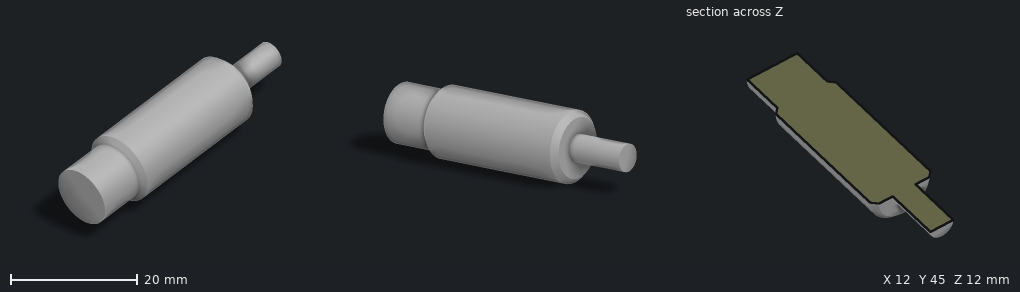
import cadquery as cq

tip_diameter = 10.0
tip_length = 8.0
body_diameter = 12.0
body_length = 27.0
body_chamfer = 1.0
stem_diameter = 4.6
stem_length = 10.0


def cylinder_along_y(diameter, start, length):
    """Cylinder on the Y axis running from start towards +Y."""
    plane = cq.Workplane("XZ").workplane(offset=-start)
    return plane.circle(diameter / 2).extrude(-length)


tip = cylinder_along_y(tip_diameter, 0, tip_length)

body = cylinder_along_y(body_diameter, tip_length, body_length)
body = body.faces("<Y or >Y").edges().chamfer(body_chamfer)

stem = cylinder_along_y(stem_diameter, tip_length + body_length, stem_length)

result = tip.union(body).union(stem)